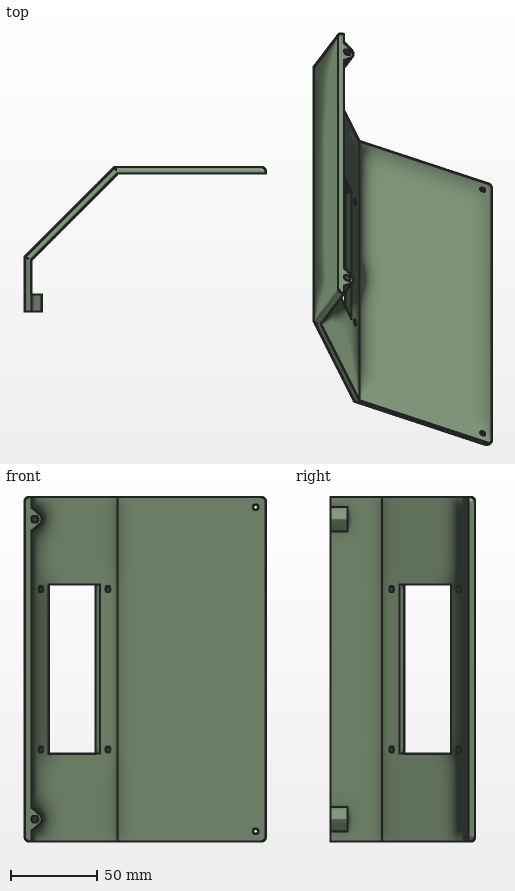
import cadquery as cq
import math

width = 140.0
depth = 84.0
height = 200.0
wall = 4.0
inner_side_depth = 30.0

edge_radius = 3.0

window_length = 42.0
window_height = 98.0
panel_hole_pitch_along = 55.0
panel_hole_pitch_z = 93.0
panel_hole_diameter = 3.6

plate_hole_inset = 6.0
plate_hole_diameter = 3.0

ear_length = 10.0
ear_radius = 4.0
ear_center_x = 6.0
ear_inset_z = 13.0
ear_half_base = 7.0
ear_hole_diameter = 4.0
ear_hole_depth = 8.0

bend_angle = 45.0
bend_shift = wall * math.tan(math.radians(bend_angle / 2))
side_depth = inner_side_depth + bend_shift
slope_run = depth - side_depth
inner_plate_start = slope_run + bend_shift

ear_heights = (ear_inset_z, height - ear_inset_z)
plate_hole_heights = (plate_hole_inset, height - plate_hole_inset)


def bent_sheet():
    """Extrude the bent wall, then round the free plate corners and the outer edges."""
    sheet = (
        cq.Workplane("XY")
        .moveTo(0, 0)
        .lineTo(0, side_depth)
        .lineTo(slope_run, depth)
        .lineTo(width, depth)
        .lineTo(width, depth - wall)
        .lineTo(inner_plate_start, depth - wall)
        .lineTo(wall, inner_side_depth)
        .lineTo(wall, 0)
        .close()
        .extrude(height)
    )
    sheet = sheet.faces(">X").edges("|Y").fillet(edge_radius)

    slope_face = cq.selectors.DirectionMinMaxSelector(cq.Vector(-1, 1, 0))
    rim = sheet.faces("<X").edges("#Z")
    rim = rim.add(sheet.faces(slope_face).edges("#Z"))
    rim = rim.add(sheet.faces(">Y").edges("not <X"))
    return rim.fillet(edge_radius)


def sloped_panel_plane():
    """Plane at the centre of the sloped panel's inner face, local x along the slope, facing out."""
    center_x = (wall + inner_plate_start) / 2
    center_y = (inner_side_depth + depth - wall) / 2
    return cq.Plane(origin=(center_x, center_y, height / 2), xDir=(-1, -1, 0), normal=(-1, 1, 0))


def display_cutouts():
    """Window and four screw holes through the sloped panel."""
    panel = cq.Workplane(sloped_panel_plane())
    window = panel.rect(window_length, window_height).extrude(wall)
    holes = (
        panel.rect(panel_hole_pitch_along, panel_hole_pitch_z, forConstruction=True)
        .vertices()
        .circle(panel_hole_diameter / 2)
        .extrude(wall)
    )
    return window.union(holes)


def plate_hole(z):
    """Screw hole through the back plate, along Y."""
    return (
        cq.Workplane("XZ", origin=(width - plate_hole_inset, depth, z))
        .circle(plate_hole_diameter / 2)
        .extrude(wall)
    )


def screw_ear(z):
    """Ear with a round nose and straight tangent flanks, rooted in the side wall."""
    reach = ear_center_x - wall
    to_root = math.atan2(ear_half_base, -reach)
    tangent_angle = to_root - math.acos(ear_radius / math.hypot(reach, ear_half_base))
    tangent_x = ear_center_x + ear_radius * math.cos(tangent_angle)
    tangent_z = ear_radius * math.sin(tangent_angle)
    root_x = wall / 2
    return (
        cq.Workplane("XZ", origin=(0, 0, z))
        .moveTo(root_x, -ear_half_base)
        .lineTo(wall, -ear_half_base)
        .lineTo(tangent_x, -tangent_z)
        .threePointArc((ear_center_x + ear_radius, 0), (tangent_x, tangent_z))
        .lineTo(wall, ear_half_base)
        .lineTo(root_x, ear_half_base)
        .close()
        .extrude(-ear_length)
    )


def ear_hole(z):
    """Blind screw hole from the front end of an ear."""
    return (
        cq.Workplane("XZ", origin=(ear_center_x, 0, z))
        .circle(ear_hole_diameter / 2)
        .extrude(-ear_hole_depth)
    )


result = bent_sheet().cut(display_cutouts())
for z in plate_hole_heights:
    result = result.cut(plate_hole(z))
for z in ear_heights:
    result = result.union(screw_ear(z)).cut(ear_hole(z))